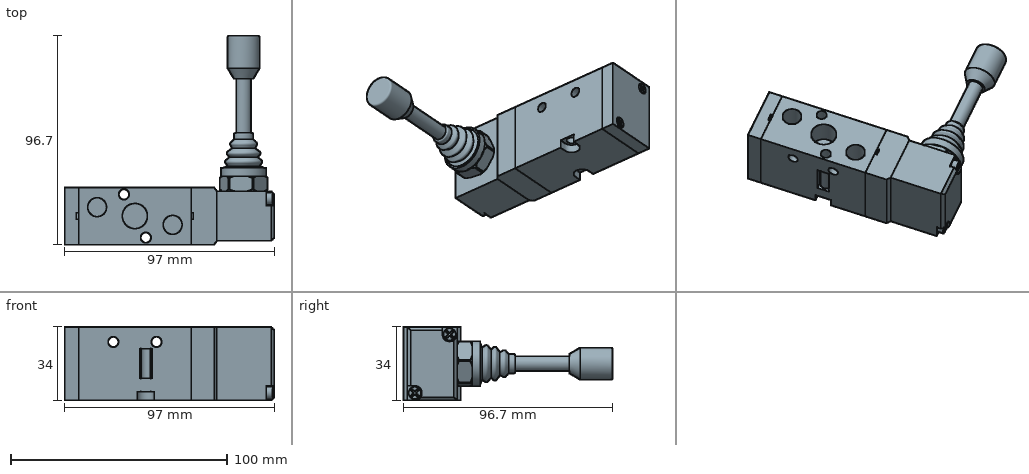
import cadquery as cq
import math


length = 97.0
width = 26.6
height = 34.0
mid_y = width / 2
mid_z = height / 2

cap_length = 6.5
body_length = 52.0
adapter_length = 11.9
body_end = cap_length + body_length
adapter_end = body_end + adapter_length

adapter_chamfer_x = 1.4
side_step = 1.7
housing_width = width - 2 * side_step
end_chamfer = 1.6

joint_recess_x = 1.1
joint_recess_y = 3.1
joint_recess_depth = 1.2

port_mid_x = 32.5
port_pitch_x = 17.5
port_offset_y = 4.1
main_port_radius = 5.8
side_port_radius = 4.4
port_depth = 11.6

hole_radius = 2.3
vertical_hole_offset_x = 5.0
vertical_hole_edge = 3.3
cross_hole_offset_x = 10.0
cross_hole_z = 27.1
bolt_seat_radius = 3.9
bolt_seat_height = 4.1

window_width = 5.7
window_depth = 2.3
window_bottom = 10.2
window_top = 24.0

screw_inset = 3.5
screw_side_inset = 5.2
cap_screw_radius = 2.5
housing_screw_radius = 2.8
head_height = 2.8
screw_seat_x = 93.3
screw_pocket_radius = 3.3
cross_length = 4.3
cross_width = 0.9
cross_depth = 1.2

lever_x = 82.7
lever_base = width - side_step
nut_top = 31.7
collar_top = 35.6
boot_top = 51.7
knob_bottom = 76.7
knob_cone_top = 81.7
knob_top = 96.7

nut_radius = 11.2
nut_across_flats = 19.7
nut_turn = 7.6
nut_chamfer_radial = 0.9
nut_chamfer_axial = 0.8
collar_radius = 10.5
boot_foot_radius = 9.5
boot_neck_radius = 4.6
boot_neck_bottom = 48.7
boot_edge_radius = 0.8
rod_radius = 3.5
knob_radius = 7.5
knob_cone_radius = 4.6
knob_edge_radius = 0.9

bellows_folds = [
    (36.4, 7.5, 38.3, 8.6),
    (40.5, 6.6, 42.3, 7.9),
    (44.6, 5.4, 46.6, 6.3),
]
crest_half_width = 0.73
crest_rise = 0.3

low_front = (screw_side_inset, screw_inset)
high_front = (screw_side_inset, height - screw_inset)
low_back = (width - screw_side_inset, screw_inset)
high_back = (width - screw_side_inset, height - screw_inset)
cap_screw_places = [high_front, low_back]
housing_screw_places = [low_front, high_back]


def block(x0, x1, y0, y1, z0, z1):
    """Box between two opposite corners."""
    return cq.Workplane("XY").box(x1 - x0, y1 - y0, z1 - z0, centered=False).translate((x0, y0, z0))


def x_cylinder(x0, x1, place, radius):
    """Cylinder along X, centred on a (y, z) place."""
    return cq.Workplane("YZ", origin=(x0, 0, 0)).center(*place).circle(radius).extrude(x1 - x0)


def joint_recess(x0):
    """Shallow recess in the top face, beside a joint of the valve body."""
    half = joint_recess_y / 2
    return block(x0, x0 + joint_recess_x, mid_y - half, mid_y + half, height - joint_recess_depth, height)


def make_end_cap():
    cap = block(0, cap_length, 0, width, 0, height)
    cap = cap.cut(joint_recess(cap_length - joint_recess_x))
    for place in cap_screw_places:
        cap = cap.cut(x_cylinder(0, head_height, place, cap_screw_radius))
    return cap


def make_valve_body():
    body = block(cap_length, body_end, 0, width, 0, height)

    for step, radius in [(-1, side_port_radius), (0, main_port_radius), (1, side_port_radius)]:
        x = port_mid_x + step * port_pitch_x
        y = mid_y - step * port_offset_y
        port = cq.Workplane("XY", origin=(x, y, height)).circle(radius).extrude(-port_depth)
        body = body.cut(port)

    for step in (-1, 1):
        x = port_mid_x + step * vertical_hole_offset_x
        y = mid_y - step * (mid_y - vertical_hole_edge)
        wall_y = mid_y - step * mid_y
        hole = cq.Workplane("XY").center(x, y).circle(hole_radius).extrude(height)
        seat_end = cq.Workplane("XY").center(x, y).circle(bolt_seat_radius).extrude(bolt_seat_height)
        seat_slot = block(
            x - bolt_seat_radius, x + bolt_seat_radius, min(y, wall_y), max(y, wall_y), 0, bolt_seat_height
        )
        body = body.cut(hole).cut(seat_end).cut(seat_slot)

    for step in (-1, 1):
        x = port_mid_x + step * cross_hole_offset_x
        hole = cq.Workplane("XZ").center(x, cross_hole_z).circle(hole_radius).extrude(-width)
        body = body.cut(hole)

    x = port_mid_x + vertical_hole_offset_x
    half = window_width / 2
    return body.cut(block(x - half, x + half, 0, window_depth, window_bottom, window_top))


def make_adapter():
    outline = [
        (body_end, 0),
        (adapter_end - adapter_chamfer_x, 0),
        (adapter_end, side_step),
        (adapter_end, width - side_step),
        (adapter_end - adapter_chamfer_x, width),
        (body_end, width),
    ]
    adapter = cq.Workplane("XY").polyline(outline).close().extrude(height)
    return adapter.cut(joint_recess(body_end))


def make_lever_housing():
    housing = block(adapter_end, length, side_step, side_step + housing_width, 0, height)
    housing = housing.faces(">X").chamfer(end_chamfer)

    for place in housing_screw_places:
        housing = housing.cut(x_cylinder(screw_seat_x, length, place, screw_pocket_radius))
    y, z = low_front
    housing = housing.cut(block(screw_seat_x, length, 0, y, 0, z + screw_pocket_radius))
    y, z = high_back
    return housing.cut(block(screw_seat_x, length, y - screw_pocket_radius, width, z, height))


def make_screw(inner_x, outer_x, place, radius):
    """Screw head between its seat and its outer face, with a diagonal cross recess in that face."""
    inward = math.copysign(1, inner_x - outer_x)
    head = x_cylinder(inner_x, outer_x, place, radius)
    for angle in (45, 135):
        slot = cq.Workplane("YZ", origin=(outer_x, 0, 0)).center(*place)
        slot = slot.transformed(rotate=(0, 0, angle)).rect(cross_length, cross_width)
        head = head.cut(slot.extrude(inward * cross_depth))
    return head


def turned(profile):
    """Revolve a closed profile of (radius, y) about the lever axis."""
    solid = profile.close().revolve(360, (0, 0, 0), (0, 1, 0))
    return solid.translate((lever_x, 0, mid_z))


def make_nut():
    """Hexagon with its corners rounded and chamfered at both ends."""
    nut_height = nut_top - lever_base
    corner_diameter = nut_across_flats / math.cos(math.radians(30))
    hexagon = cq.Workplane("XZ").polygon(6, corner_diameter).extrude(-nut_height)
    hexagon = hexagon.rotate((0, 0, 0), (0, 1, 0), -nut_turn).translate((lever_x, lever_base, mid_z))
    inner = nut_radius - nut_chamfer_radial
    envelope = turned(
        cq.Workplane("XY").polyline([
            (0, lever_base),
            (inner, lever_base),
            (nut_radius, lever_base + nut_chamfer_axial),
            (nut_radius, nut_top - nut_chamfer_axial),
            (inner, nut_top),
            (0, nut_top),
        ])
    )
    return hexagon.intersect(envelope)


def make_boot():
    """Collar with the folded bellows above it."""
    profile = (
        cq.Workplane("XY")
        .moveTo(0, nut_top)
        .lineTo(collar_radius, nut_top)
        .lineTo(collar_radius, collar_top)
        .lineTo(boot_foot_radius, collar_top)
    )
    for valley_y, valley_radius, crest_y, crest_radius in bellows_folds:
        shoulder = crest_radius - crest_rise
        profile = (
            profile.lineTo(valley_radius, valley_y)
            .lineTo(shoulder, crest_y - crest_half_width)
            .threePointArc((crest_radius, crest_y), (shoulder, crest_y + crest_half_width))
        )
    profile = (
        profile.lineTo(boot_neck_radius, boot_neck_bottom)
        .lineTo(boot_neck_radius, boot_top)
        .lineTo(0, boot_top)
    )
    return turned(profile).faces(">Y").edges().fillet(boot_edge_radius)


def make_rod_and_knob():
    profile = cq.Workplane("XY").polyline([
        (0, boot_top),
        (rod_radius, boot_top),
        (rod_radius, knob_bottom),
        (knob_cone_radius, knob_bottom),
        (knob_radius, knob_cone_top),
        (knob_radius, knob_top),
        (0, knob_top),
    ])
    return turned(profile).faces(">Y").edges().fillet(knob_edge_radius)


def make_lever():
    """Nut, boot, rod and knob as one solid."""
    return make_nut().union(make_boot()).union(make_rod_and_knob())


end_cap = make_end_cap()
valve_body = make_valve_body()
adapter = make_adapter()
lever_housing = make_lever_housing()
lever = make_lever()
cap_screws = [make_screw(head_height, 0, place, cap_screw_radius) for place in cap_screw_places]
housing_screws = [
    make_screw(screw_seat_x, screw_seat_x + head_height, place, housing_screw_radius)
    for place in housing_screw_places
]

result = cq.Compound.makeCompound([
    end_cap.val(),
    valve_body.val(),
    adapter.val(),
    lever_housing.val(),
    lever.val(),
    *[screw.val() for screw in cap_screws + housing_screws],
])